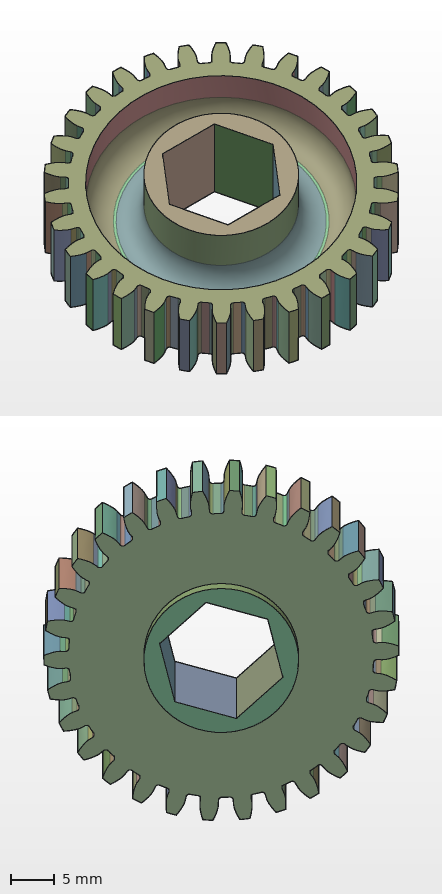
import cadquery as cq
import math

tooth_count = 30
tip_radius = 20.3
pressure_angle = math.radians(14.5)
module = 2 * tip_radius / (tooth_count + 2)
pitch_radius = module * tooth_count / 2
base_radius = pitch_radius * math.cos(pressure_angle)
dedendum_factor = 1.25
root_radius = pitch_radius - dedendum_factor * module
root_fillet = 0.35
flank_steps = 6

face_width = 9.5
hub_height = 12.65
hub_radius = 8.85
hex_across_flats = 12.7

rim_inner_radius = 15.52
pocket_fillet = 3.15
pocket_depth = 7.2


def involute(angle):
    """Involute function of a pressure angle in radians."""
    return math.tan(angle) - angle


def polar(radius, angle):
    """Point at an angle measured from the +Y axis."""
    return (radius * math.sin(angle), radius * math.cos(angle))


def tooth_half_angle(radius):
    """Half the angle a tooth spans at a radius on or outside the base circle."""
    angle_at_radius = math.acos(base_radius / radius)
    pitch_half_angle = math.pi / (2 * tooth_count)
    return pitch_half_angle + involute(pressure_angle) - involute(angle_at_radius)


def make_toothed_blank():
    """Spur gear blank: involute flanks, radial below the base circle."""
    pitch_angle = 2 * math.pi / tooth_count
    radial_step = (tip_radius - base_radius) / flank_steps
    flank_radii = [base_radius + i * radial_step for i in range(flank_steps)] + [tip_radius]
    base_half_angle = tooth_half_angle(base_radius)

    outline = cq.Workplane("XY").workplane(offset=-face_width / 2)
    outline = outline.moveTo(*polar(root_radius, -base_half_angle))
    for i in range(tooth_count):
        center = i * pitch_angle
        rising = [polar(r, center - tooth_half_angle(r)) for r in flank_radii]
        falling = [polar(r, center + tooth_half_angle(r)) for r in reversed(flank_radii)]
        outline = outline.lineTo(*rising[0])
        outline = outline.spline(rising[1:], includeCurrent=True)
        outline = outline.threePointArc(polar(tip_radius, center), falling[0])
        outline = outline.spline(falling[1:], includeCurrent=True)
        outline = outline.lineTo(*polar(root_radius, center + base_half_angle))
        outline = outline.threePointArc(
            polar(root_radius, center + pitch_angle / 2),
            polar(root_radius, center + pitch_angle - base_half_angle),
        )
    blank = outline.close().extrude(face_width)

    def is_root_corner(edge):
        point = edge.Center()
        return math.hypot(point.x, point.y) < (root_radius + base_radius) / 2

    root_corners = [edge for edge in blank.edges("|Z").vals() if is_root_corner(edge)]
    return blank.newObject(root_corners).fillet(root_fillet)


def make_pocket():
    """Ring-shaped cutter with its two floor edges rounded."""
    floor = face_width / 2 - pocket_depth
    return (
        cq.Workplane("XY")
        .workplane(offset=floor)
        .circle(rim_inner_radius)
        .circle(hub_radius)
        .extrude(pocket_depth)
        .faces("<Z")
        .edges()
        .fillet(pocket_fillet)
    )


def make_hub():
    """Hub cylinder standing proud of both gear faces."""
    return cq.Workplane("XY").circle(hub_radius).extrude(hub_height / 2, both=True)


def make_hex_bore():
    """Through bore with two corners on the X axis."""
    corner_diameter = hex_across_flats / math.cos(math.pi / 6)
    return cq.Workplane("XY").polygon(6, corner_diameter).extrude(hub_height / 2, both=True)


result = make_toothed_blank().cut(make_pocket()).union(make_hub()).cut(make_hex_bore())